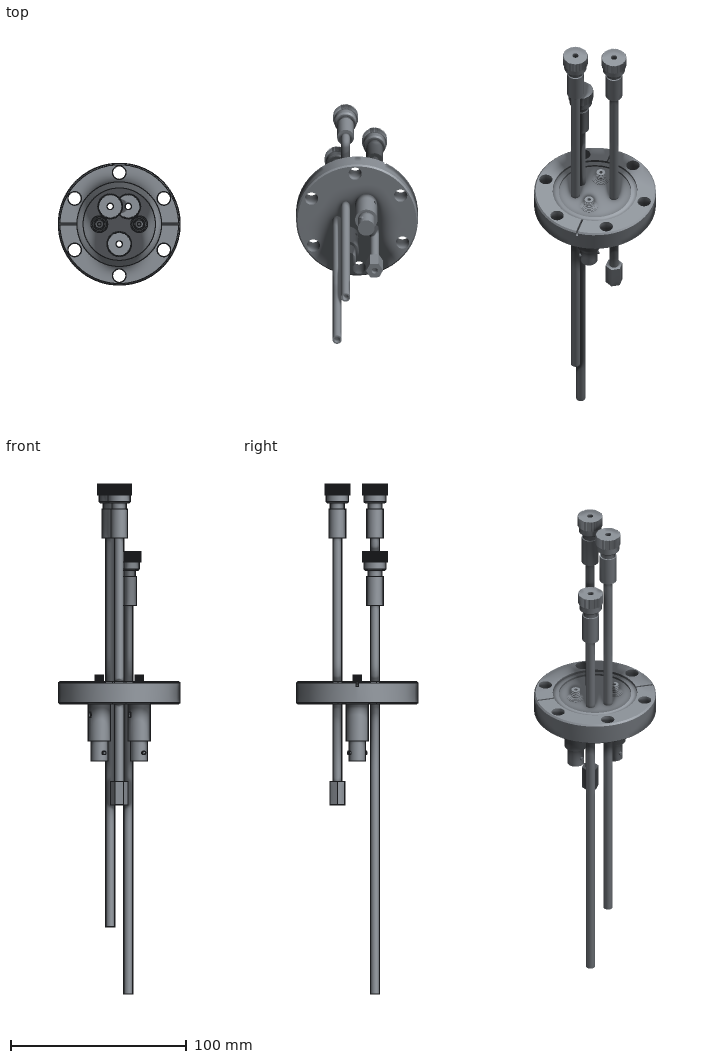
import cadquery as cq
import math


FLANGE_DIA = 69.3
FLANGE_THICK = 12.8
RIM_CHAMFER = 1.0
BOLT_COUNT = 6
BOLT_CIRCLE_DIA = 58.5
BOLT_HOLE_DIA = 7.5
SEAL_RECESS_DIA = 48.2
SEAL_RECESS_DEPTH = 1.5
KNIFE_DIA = 41.2
KNIFE_DEPTH = 0.5
INNER_FACE_DEPTH = 1.7
INNER_FACE_Z = FLANGE_THICK - INNER_FACE_DEPTH
LEAK_GROOVE_WIDTH = 1.2
LEAK_GROOVE_DEPTH = 3.0

FEEDTHROUGH_RADIUS = 11.3
PAIR_ANGLE = 27

TUBE_DIA = 5.2
TUBE_BORE_DIA = 3.5
TUBE_LENGTH = 251.8
OVERALL_HEIGHT = 290.0
PAIR_X = FEEDTHROUGH_RADIUS * math.sin(math.radians(PAIR_ANGLE))
PAIR_Y = FEEDTHROUGH_RADIUS * math.cos(math.radians(PAIR_ANGLE))
SINGLE_Y = -FEEDTHROUGH_RADIUS
HIGH_TOP_Z = 125.0
LOW_TOP_Z = HIGH_TOP_Z - (OVERALL_HEIGHT - TUBE_LENGTH)

KNURL_DIA = 14.2
KNURL_DEPTH = 0.44
KNURL_TEETH = 60
KNURL_HEIGHT = 6.0
SKIRT_DIA = 12.8
SKIRT_HEIGHT = 4.5
SKIRT_CHAMFER = 1.0
NECK_DIA = 8.0
NECK_HEIGHT = 3.5
BODY_DIA = 9.5
BODY_HEIGHT = 16.5

NUT_FLATS = 8.5
NUT_TOP_Z = -44.0
NUT_HEIGHT = 13.3

SHELL_DIA = 12.8
SHELL_LENGTH = 21.2
SOCKET_DIA = 9.5
SOCKET_LENGTH = 11.3
CONNECTOR_TURN = 30
VENT_DIA = 3.2
VENT_DEPTH = 1.5
VENT_Z = -6.0
LUG_DIA = 2.0
LUG_SPAN = 11.5
LUG_Z = -27.8

INSULATOR_STEPS = [(9.5, 0.3), (8.0, 0.3), (6.5, 0.3)]
CONTACT_DIA = 5.0
CONTACT_GROOVE_DIA = 3.8
CONTACT_RING_HEIGHT = 0.5
CONTACT_RINGS = 4
CONTACT_HOLE_DIA = 2.0
CONTACT_HOLE_DEPTH = 2.0


def rod(x, y, bottom, height, diameter):
    return cq.Workplane("XY", origin=(x, y, bottom)).circle(diameter / 2).extrude(height)


def make_flange():
    disc = rod(0, 0, 0, FLANGE_THICK, FLANGE_DIA).faces("<Z or >Z").chamfer(RIM_CHAMFER)
    recess_profile = [
        (0, FLANGE_THICK),
        (SEAL_RECESS_DIA / 2, FLANGE_THICK),
        (SEAL_RECESS_DIA / 2, FLANGE_THICK - SEAL_RECESS_DEPTH),
        (KNIFE_DIA / 2, FLANGE_THICK - KNIFE_DEPTH),
        (KNIFE_DIA / 2, INNER_FACE_Z),
        (0, INNER_FACE_Z),
    ]
    recess = cq.Workplane("XZ").polyline(recess_profile).close().revolve(360, (0, 0), (0, 1))
    bolt_holes = (
        cq.Workplane("XY")
        .polarArray(BOLT_CIRCLE_DIA / 2, 90, 360, BOLT_COUNT)
        .circle(BOLT_HOLE_DIA / 2)
        .extrude(FLANGE_THICK)
    )
    disc = disc.cut(recess).cut(bolt_holes)
    groove_length = (FLANGE_DIA - SEAL_RECESS_DIA) / 2
    groove_x = (FLANGE_DIA + SEAL_RECESS_DIA) / 4
    for side in (-1, 1):
        groove = cq.Workplane("XY", origin=(side * groove_x, 0, FLANGE_THICK - LEAK_GROOVE_DEPTH))
        disc = disc.cut(groove.rect(groove_length, LEAK_GROOVE_WIDTH).extrude(LEAK_GROOVE_DEPTH))
    return disc


def make_knurl(x, y, bottom):
    points = []
    for step in range(2 * KNURL_TEETH):
        radius = KNURL_DIA / 2 - KNURL_DEPTH * (step % 2)
        angle = math.pi * step / KNURL_TEETH
        points.append((radius * math.cos(angle), radius * math.sin(angle)))
    return cq.Workplane("XY", origin=(x, y, bottom)).polyline(points).close().extrude(KNURL_HEIGHT)


def make_fitted_tube(x, y, top, bottom):
    knurl_z = top - KNURL_HEIGHT
    skirt_z = knurl_z - SKIRT_HEIGHT
    neck_z = skirt_z - NECK_HEIGHT
    body_z = neck_z - BODY_HEIGHT
    skirt = rod(x, y, skirt_z, SKIRT_HEIGHT, SKIRT_DIA).faces("<Z").chamfer(SKIRT_CHAMFER)
    return (
        rod(x, y, bottom, top - bottom, TUBE_DIA)
        .union(make_knurl(x, y, knurl_z))
        .union(skirt)
        .union(rod(x, y, neck_z, NECK_HEIGHT, NECK_DIA))
        .union(rod(x, y, body_z, BODY_HEIGHT, BODY_DIA))
    )


def make_nut(x, y):
    corner_dia = NUT_FLATS / math.cos(math.pi / 6)
    plane = cq.Workplane("XY", origin=(x, y, NUT_TOP_Z - NUT_HEIGHT))
    return plane.polygon(6, corner_dia).extrude(NUT_HEIGHT)


def make_contact():
    z = INNER_FACE_Z
    contact = cq.Workplane("XY")
    for diameter, height in INSULATOR_STEPS:
        contact = contact.union(rod(0, 0, z, height, diameter))
        z += height
    for _ in range(CONTACT_RINGS):
        contact = contact.union(rod(0, 0, z, CONTACT_RING_HEIGHT, CONTACT_GROOVE_DIA))
        z += CONTACT_RING_HEIGHT
        contact = contact.union(rod(0, 0, z, CONTACT_RING_HEIGHT, CONTACT_DIA))
        z += CONTACT_RING_HEIGHT
    return contact.cut(rod(0, 0, z - CONTACT_HOLE_DEPTH, CONTACT_HOLE_DEPTH, CONTACT_HOLE_DIA))


def make_connector():
    shell = rod(0, 0, -SHELL_LENGTH, SHELL_LENGTH, SHELL_DIA)
    socket = rod(0, 0, -SHELL_LENGTH - SOCKET_LENGTH, SOCKET_LENGTH, SOCKET_DIA)
    vent = (
        cq.Workplane("YZ", origin=(-SHELL_DIA / 2, 0, VENT_Z)).circle(VENT_DIA / 2).extrude(VENT_DEPTH)
    )
    lugs = (
        cq.Workplane("XZ", origin=(0, 0, LUG_Z)).circle(LUG_DIA / 2).extrude(LUG_SPAN / 2, both=True)
    )
    connector = shell.cut(vent).union(socket).union(lugs).union(make_contact())
    return connector.rotate((0, 0, 0), (0, 0, 1), CONNECTOR_TURN)


TUBES = [
    (-PAIR_X, PAIR_Y, HIGH_TOP_Z, HIGH_TOP_Z - TUBE_LENGTH),
    (PAIR_X, PAIR_Y, LOW_TOP_Z, LOW_TOP_Z - TUBE_LENGTH),
    (0, SINGLE_Y, HIGH_TOP_Z, NUT_TOP_Z - NUT_HEIGHT),
]

result = make_flange()
for side in (-1, 1):
    result = result.union(make_connector().translate((side * FEEDTHROUGH_RADIUS, 0, 0)))
for x, y, top, bottom in TUBES:
    result = result.union(make_fitted_tube(x, y, top, bottom))
result = result.union(make_nut(0, SINGLE_Y))
for x, y, top, bottom in TUBES:
    result = result.cut(rod(x, y, bottom, top - bottom, TUBE_BORE_DIA))